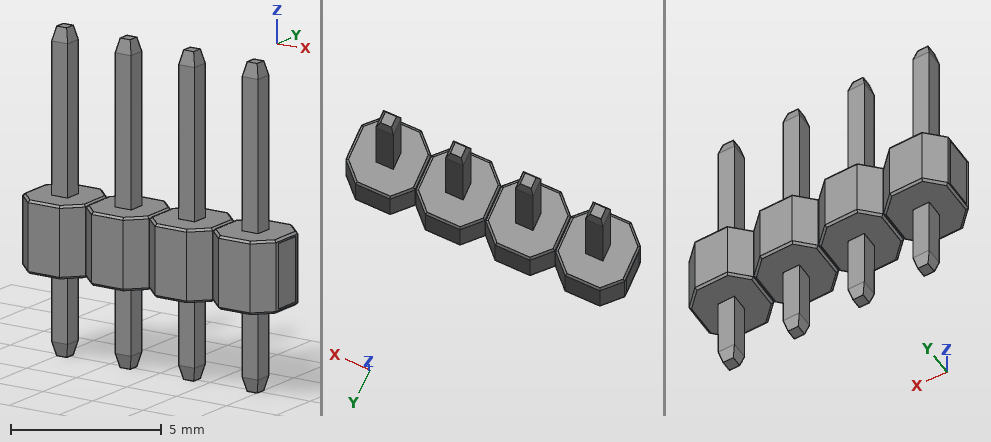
import cadquery as cq

PIN_COUNT = 4
PITCH = 2.54
PIN_LENGTH = 11.39

BLOCK_DEPTH = PITCH
BLOCK_HEIGHT = PITCH
CORNER_CUT = 0.63
RIM_CHAMFER = 0.08

PAD_THICKNESS = 0.01
PAD_INSET = 0.14
BLOCK_WIDTH = PITCH - 2 * PAD_THICKNESS
PAD_WIDTH = BLOCK_DEPTH - 2 * CORNER_CUT - 2 * PAD_INSET
PAD_HEIGHT = BLOCK_HEIGHT - 2 * PAD_INSET

PIN_WIDTH = 0.64
TIP_WIDTH = 0.4
TIP_LENGTH = 0.5
TAIL_LENGTH = 3.02

PIN_BOTTOM = -PIN_LENGTH / 2
BLOCK_BOTTOM = PIN_BOTTOM + TAIL_LENGTH
BLOCK_CENTRE = BLOCK_BOTTOM + BLOCK_HEIGHT / 2


def make_block():
    """Octagonal block with a chamfered rim around its top and bottom."""
    return (
        cq.Workplane("XY", origin=(0, 0, BLOCK_BOTTOM))
        .rect(BLOCK_WIDTH, BLOCK_DEPTH)
        .extrude(BLOCK_HEIGHT)
        .edges("|Z")
        .chamfer(CORNER_CUT)
        .faces("|Z")
        .edges()
        .chamfer(RIM_CHAMFER)
    )


def make_pad_bar():
    """Bar through the block whose ends stand proud of both end flats as pads."""
    return cq.Workplane("XY", origin=(0, 0, BLOCK_CENTRE)).box(PITCH, PAD_WIDTH, PAD_HEIGHT)


def make_tip(shank_end, point):
    """Tapered tip from the shank end height to the point height."""
    return (
        cq.Workplane("XY", origin=(0, 0, shank_end))
        .rect(PIN_WIDTH, PIN_WIDTH)
        .workplane(offset=point - shank_end)
        .rect(TIP_WIDTH, TIP_WIDTH)
        .loft(ruled=True)
    )


def make_pin():
    """Square shank with both tapered tips, centred on the origin."""
    tip_start = PIN_LENGTH / 2 - TIP_LENGTH
    shank = cq.Workplane("XY").box(PIN_WIDTH, PIN_WIDTH, 2 * tip_start)
    top_tip = make_tip(tip_start, PIN_LENGTH / 2)
    bottom_tip = make_tip(-tip_start, PIN_BOTTOM)
    return shank.union(top_tip).union(bottom_tip)


def make_pin_unit(x):
    """One header position: a block and its pin in one solid, centred at x."""
    unit = make_block().union(make_pad_bar()).union(make_pin())
    return unit.translate((x, 0, 0))


first_x = -(PIN_COUNT - 1) * PITCH / 2
pin_units = [make_pin_unit(first_x + i * PITCH) for i in range(PIN_COUNT)]

result = cq.Compound.makeCompound([unit.val() for unit in pin_units])